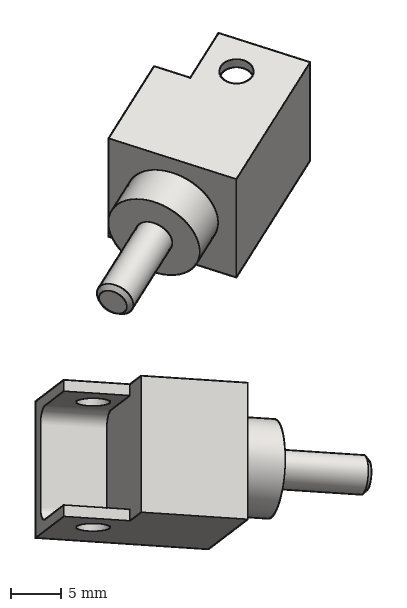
import cadquery as cq

total_length = 32.5
body_width = 14.0
boss_diameter = 10.0
boss_length = 4.5
pin_diameter = 4.0
pin_length = 10.0
pin_chamfer = 0.5

bracket_length = 6.9
side_step = 3.95
plate_thickness = 1.17
wall_thickness = 1.82
inner_radius = 1.53
hole_diameter = 3.4
hole_offset_x = 0.8
hole_to_rear_face = 4.2

body_length = total_length - boss_length - pin_length
block_length = body_length - bracket_length
bracket_width = body_width - side_step
half_width = body_width / 2


def make_block():
    return cq.Workplane("XY").box(body_width, block_length, body_width, centered=(True, False, True))


def make_bracket():
    """Two plates joined by a wall on the +X side, with rounded inner corners."""
    outer = cq.Workplane("XY").box(bracket_width, bracket_length, body_width, centered=False)
    channel = (
        cq.Workplane("XY")
        .box(
            bracket_width - wall_thickness,
            bracket_length,
            body_width - 2 * plate_thickness,
            centered=False,
        )
        .edges("|Y and >X")
        .fillet(inner_radius)
        .translate((0, 0, plate_thickness))
    )
    return outer.cut(channel).translate((side_step - half_width, block_length, -half_width))


def make_boss_and_pin():
    boss = cq.Workplane("XZ").circle(boss_diameter / 2).extrude(boss_length)
    pin = (
        cq.Workplane("XZ", origin=(0, -boss_length, 0))
        .circle(pin_diameter / 2)
        .extrude(pin_length)
        .faces("<Y")
        .chamfer(pin_chamfer)
    )
    return boss.union(pin)


def make_hole():
    """Cutter passing through both bracket plates."""
    return (
        cq.Workplane("XY", origin=(hole_offset_x, body_length - hole_to_rear_face, -half_width))
        .circle(hole_diameter / 2)
        .extrude(body_width)
    )


result = make_block().union(make_bracket()).union(make_boss_and_pin()).cut(make_hole())